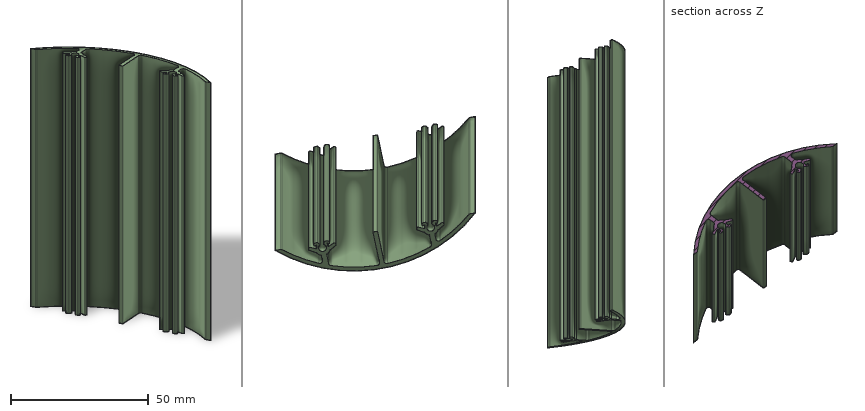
import cadquery as cq
import math

length = 100.0
width = 74.0
height = 14.5
shell_thickness = 1.5
shell_tip_radius = 0.6

centre_rib_width = 1.7
centre_rib_corner_radius = 0.2
stem_width = 2.0
stem_offset = 20.0
root_radius = 1.0

port_radius = 1.4
port_height = 2.4
boss_radius = 2.9
boss_end_angle = math.radians(30)
throat_half_width = 0.7
arm_tip_radius = 0.4
lip_corner_radius = 0.2

half_width = width / 2
outer_radius = (half_width**2 + height**2) / (2 * height)
inner_radius = outer_radius - shell_thickness
arc_centre_y = height - outer_radius
inner_half_width = math.sqrt(inner_radius**2 - arc_centre_y**2)


def inner_surface_y(x):
    """Height of the underside of the shell at position x."""
    return arc_centre_y + math.sqrt(inner_radius**2 - x**2)


def round_corner(body, corner, radius):
    """Fillet the lengthwise edge that runs through an outline corner."""
    nearest = cq.selectors.NearestToPointSelector((*corner, length / 2))
    return body.edges("|Z").edges(nearest).fillet(radius)


def make_shell():
    """Arched shell standing on the baseline, with the inner corner of each tip rounded."""
    shell = (
        cq.Workplane("XY")
        .moveTo(-half_width, 0)
        .threePointArc((0, height), (half_width, 0))
        .lineTo(inner_half_width, 0)
        .threePointArc((0, height - shell_thickness), (-inner_half_width, 0))
        .close()
        .extrude(length)
    )
    for tip_x in (-inner_half_width, inner_half_width):
        shell = round_corner(shell, (tip_x, 0), shell_tip_radius)
    return shell


def make_web(x, web_width, bottom):
    """Upright web from the given bottom height to the middle of the shell."""
    top = inner_surface_y(x) + shell_thickness / 2
    return (
        cq.Workplane("XY")
        .center(x, (bottom + top) / 2)
        .rect(web_width, top - bottom)
        .extrude(length)
    )


def boss_point(angle):
    """Point on the round outside of the screw port, at an angle above the X direction."""
    return boss_radius * math.cos(angle), port_height + boss_radius * math.sin(angle)


def make_clip():
    """Foot symmetric about X = 0: flared arms and hooked lips either side of an open screw port."""
    arm_tip = [(5.2, 2.2), (4.7, 1.2)]
    notch = [(2.3, 2.3), (2.0, 2.0), (2.0, 1.0)]
    lip = [(2.9, 1.2), (2.9, 0.3), (2.2, 0), (1.4, 0)]
    throat = [(throat_half_width, 0.9), (throat_half_width, port_height), (0, port_height)]
    half = (
        cq.Workplane("XY")
        .moveTo(*boss_point(math.pi / 2))
        .threePointArc(boss_point((math.pi / 2 + boss_end_angle) / 2), boss_point(boss_end_angle))
    )
    for point in arm_tip + notch + lip + throat:
        half = half.lineTo(*point)
    half = half.close().extrude(length)
    for corner in arm_tip:
        half = round_corner(half, corner, arm_tip_radius)
    for corner in lip:
        half = round_corner(half, corner, lip_corner_radius)
    port = cq.Workplane("XY").center(0, port_height).circle(port_radius).extrude(length)
    return half.union(half.mirror("YZ")).cut(port)


def round_web_roots(body, x, web_width):
    """Fillet both corners where a web meets the underside of the shell."""
    for corner_x in (x - web_width / 2, x + web_width / 2):
        body = round_corner(body, (corner_x, inner_surface_y(corner_x)), root_radius)
    return body


centre_rib = make_web(0, centre_rib_width, 0).edges("|Z and <Y").fillet(centre_rib_corner_radius)
result = make_shell().union(centre_rib)
result = round_web_roots(result, 0, centre_rib_width)

clip = make_clip()
stem_bottom = port_height + (port_radius + boss_radius) / 2
for stem_x in (-stem_offset, stem_offset):
    result = result.union(make_web(stem_x, stem_width, stem_bottom))
    result = round_web_roots(result, stem_x, stem_width)
    result = result.union(clip.translate((stem_x, 0, 0)))